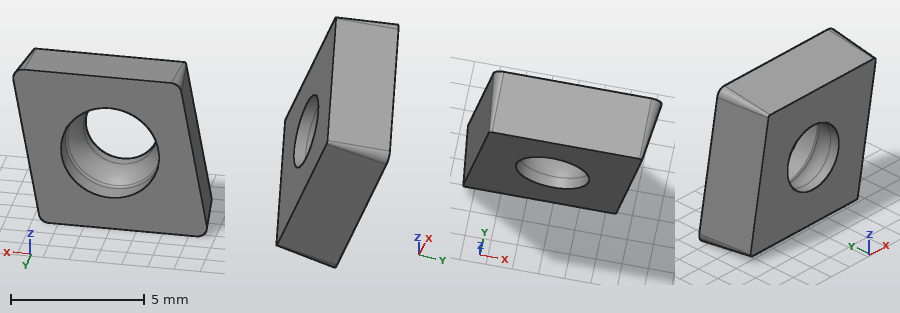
import cadquery as cq
import math

length = 7.41
thickness = 2.38
corner_radius = 0.4
corner_angle = 80.0
clearance_angle = 7.0

bore_radius = 1.4
bore_depth = 0.445
head_radius = 1.875
seat_radius = 1.4
fillet_radius = 0.2

rhombus_angle = math.radians(corner_angle)
acute_ratio = 1 / math.sin(rhombus_angle) + 1 / math.tan(rhombus_angle)
obtuse_ratio = 1 / math.sin(rhombus_angle) - 1 / math.tan(rhombus_angle)
half_height = (length / 2 - corner_radius) / acute_ratio + corner_radius
acute_x = half_height * acute_ratio
obtuse_x = half_height * obtuse_ratio


def insert_body():
    """Rhombus with rounded corners, tapering from the large face down to the small face."""
    corners = [
        (acute_x, half_height),
        (-obtuse_x, half_height),
        (-acute_x, -half_height),
        (obtuse_x, -half_height),
    ]
    outline = cq.Sketch().polygon(corners + corners[:1]).vertices().fillet(corner_radius)
    large_face = cq.Workplane("XZ", origin=(0, thickness, 0))
    return large_face.placeSketch(outline).extrude(thickness, taper=clearance_angle)


def screw_hole():
    """Solid of revolution about Y that fills the screw hole."""
    flare_angle = math.acos(1 - (head_radius - bore_radius) / (seat_radius + fillet_radius))
    fillet_end = bore_depth + (seat_radius + fillet_radius) * math.sin(flare_angle)

    def seat_point(angle):
        """Point of the convex seat where it has turned by the angle from the bore."""
        radius = bore_radius + seat_radius * (1 - math.cos(angle))
        return radius, bore_depth + seat_radius * math.sin(angle)

    def fillet_point(angle):
        """Point of the concave fillet that still has to turn by the angle to the wide bore."""
        radius = head_radius - fillet_radius * (1 - math.cos(angle))
        return radius, fillet_end - fillet_radius * math.sin(angle)

    return (
        cq.Workplane("XY")
        .lineTo(bore_radius, 0)
        .lineTo(bore_radius, bore_depth)
        .threePointArc(seat_point(flare_angle / 2), seat_point(flare_angle))
        .threePointArc(fillet_point(flare_angle / 2), fillet_point(0))
        .lineTo(head_radius, thickness)
        .lineTo(0, thickness)
        .close()
        .revolve(360, (0, 0), (0, 1))
    )


result = insert_body().cut(screw_hole())